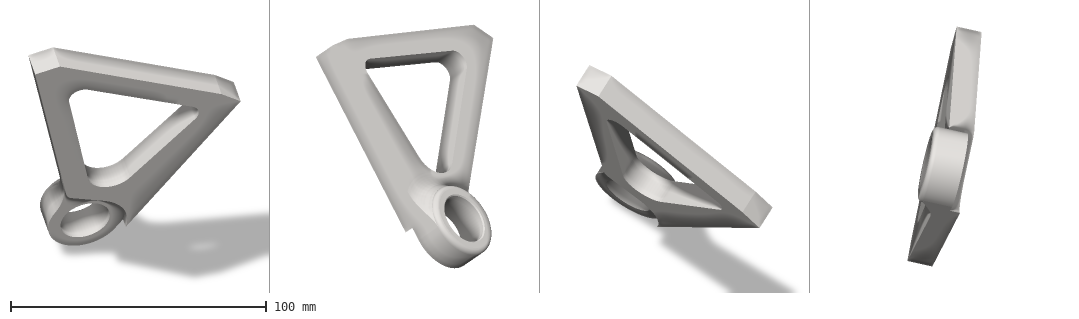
import cadquery as cq
import math

total_depth = 17.5
frame_thickness = 10.0
frame_front = total_depth - frame_thickness
relief_depth = 4.0
boss_back = total_depth - relief_depth

overall_height = 119.5
boss_radius = 15.0
bore_radius = 10.0
bore_chamfer = 0.5
boss_rounding = 2.0
flare_radius = 10.0
neck_radius = 20.0

left_tip = (62.0, 58.1)
left_shoulder = (54.3, 65.1)
top_corner = (-11.4, overall_height - boss_radius)
right_tip = (-21.4, 102.9)
right_side_foot = (-5.0, 0)

window_top = (-9.2, 91.5)
window_left = (48.0, 58.0)
window_bottom = (3.0, 11.0)
window_small_radius = 5.0
window_large_radius = 2 * window_small_radius

relief_radius = 16.0
relief_angle = 25
relief_length = 71.7
relief_corner_radius = 4.0


def prism(points, start, end):
    """Extrude a YZ polygon between two X positions."""
    return cq.Workplane("YZ", origin=(start, 0, 0)).polyline(points).close().extrude(end - start)


def disc(radius, start, end):
    """Cylinder on the X axis between two X positions."""
    return cq.Workplane("YZ", origin=(start, 0, 0)).circle(radius).extrude(end - start)


def tangent_point(point):
    """Point where the lower tangent from the given point touches the boss."""
    distance = math.hypot(*point)
    angle = math.atan2(point[1], point[0]) - math.acos(boss_radius / distance)
    return boss_radius * math.cos(angle), boss_radius * math.sin(angle)


def frame_outline(start, end):
    """Frame with sharp corners, narrowing into the boss."""
    corners = [left_tip, tangent_point(left_tip), (0, 0), right_side_foot,
               right_tip, top_corner, left_shoulder]
    return prism(corners, start, end)


def front_outline():
    """Frame outline blended around the boss, from the boss face to the boss back."""
    body = frame_outline(0, boss_back).union(disc(boss_radius, 0, boss_back))
    run_y = right_tip[0] - right_side_foot[0]
    run_z = right_tip[1] - right_side_foot[1]
    run = math.hypot(run_y, run_z)
    along = (right_side_foot[0] * run_y + right_side_foot[1] * run_z) / run
    foot_radius = math.hypot(*right_side_foot)
    step = -along + math.sqrt(along**2 + boss_radius**2 - foot_radius**2)
    meeting = (boss_back / 2, right_side_foot[0] + step * run_y / run, step * run_z / run)
    return body.edges(cq.selectors.NearestToPointSelector(meeting)).fillet(neck_radius)


def flared_boss():
    """Round boss with a rounded face and a concave flare, revolved about X."""
    flare_height = frame_front - boss_rounding
    flare_offset = flare_radius - flare_height
    flare_reach = math.sqrt(flare_radius**2 - flare_offset**2)
    flare_end = boss_radius + flare_reach
    flare_center_x = frame_front - flare_radius
    flare_middle_angle = (math.asin(flare_offset / flare_radius) + math.pi / 2) / 2
    flare_middle = (flare_center_x + flare_radius * math.sin(flare_middle_angle),
                    flare_end - flare_radius * math.cos(flare_middle_angle))
    rounding_bulge = boss_rounding * math.sqrt(0.5)
    rounding_middle = (boss_rounding - rounding_bulge,
                       boss_radius - boss_rounding + rounding_bulge)
    return (
        cq.Workplane("XY")
        .lineTo(0, boss_radius - boss_rounding)
        .threePointArc(rounding_middle, (boss_rounding, boss_radius))
        .threePointArc(flare_middle, (frame_front, flare_end))
        .lineTo(boss_back, flare_end)
        .lineTo(boss_back, 0)
        .close()
        .revolve(360, (0, 0, 0), (1, 0, 0))
    )


def relief():
    """Round-ended slot cleared from the back of the frame."""
    slot = (
        cq.Workplane("YZ", origin=(boss_back, 0, 0))
        .center(-relief_length / 2, 0)
        .rect(relief_length, 2 * relief_radius)
        .extrude(relief_depth)
        .rotate((0, 0, 0), (1, 0, 0), -relief_angle)
    )
    return slot.union(disc(relief_radius, boss_back, total_depth))


def relief_corner():
    """Middle of the edge where the slot's upper wall meets the straight -Y side."""
    angle = math.radians(relief_angle)
    lean = (right_tip[0] - right_side_foot[0]) / (right_tip[1] - right_side_foot[1])
    wall_height = relief_radius / math.cos(angle)
    z = (wall_height - right_side_foot[0] * math.tan(angle)) / (1 + lean * math.tan(angle))
    return boss_back + relief_depth / 2, right_side_foot[0] + lean * z, z


def back_layer():
    """Part of the frame behind the boss, with the relief cleared and its corner rounded."""
    layer = frame_outline(boss_back, total_depth).cut(relief())
    corner = cq.selectors.NearestToPointSelector(relief_corner())
    return layer.edges(corner).fillet(relief_corner_radius)


def window():
    """Triangular opening with one large and two small rounded corners."""
    opening = prism([window_top, window_left, window_bottom], 0, total_depth)
    opening = opening.edges("|X").edges("<Z").fillet(window_large_radius)
    for y, z in (window_top, window_left):
        corner = cq.selectors.NearestToPointSelector((total_depth / 2, y, z))
        opening = opening.edges(corner).fillet(window_small_radius)
    return opening


def front_layer():
    """Frame and boss in front of the relief, trimmed to the blended outline."""
    span = 2 * (right_tip[1] + left_tip[0])
    slab = cq.Workplane("YZ", origin=(frame_front, 0, 0)).rect(span, span)
    slab = slab.extrude(boss_back - frame_front)
    return front_outline().intersect(slab.union(flared_boss()))


part = front_layer().union(back_layer())
part = part.cut(window()).cut(disc(bore_radius, 0, total_depth))
bore_mouth = cq.selectors.RadiusNthSelector(0)
result = part.faces("<X").edges(bore_mouth).chamfer(bore_chamfer)